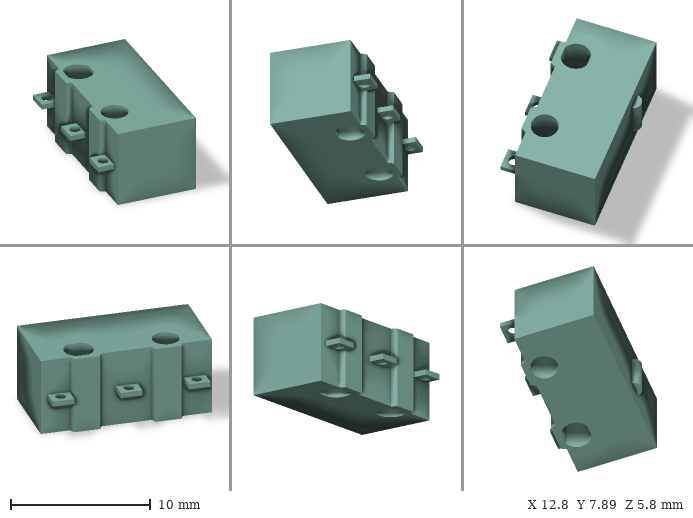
import cadquery as cq

length = 12.8
depth = 6.09
height = 5.8

pad_offset = 3.05
pad_base_width = 2.33
pad_tip_width = 1.92
pad_projection = 0.4

mount_offset = 3.25
mount_setback = 1.1
mount_diameter = 2.0
flatted_diameter = 2.2

plunger_x = -1.95
plunger_radius = 0.6
plunger_projection = 0.5
plunger_height = 2.88

terminal_pitch = 5.08
terminal_width = 1.61
terminal_gap = 0.09
terminal_end = 1.3
terminal_thickness = 0.4
terminal_hole_diameter = 0.8
terminal_hole_setback = 0.59
terminal_length = terminal_end - terminal_gap


def prism(sketch, thickness):
    """Extrude an XY outline equally above and below mid-height."""
    return sketch.extrude(thickness / 2, both=True)


def make_pad(x):
    """Trapezoidal full-height pad on the front face."""
    outline = cq.Workplane("XY").polyline([
        (x - pad_base_width / 2, 0),
        (x - pad_tip_width / 2, -pad_projection),
        (x + pad_tip_width / 2, -pad_projection),
        (x + pad_base_width / 2, 0),
    ]).close()
    return prism(outline, height)


def make_plunger():
    """Cylindrical cap, partly sunk into the back face."""
    center_y = depth + plunger_projection - plunger_radius
    return prism(cq.Workplane("XY").center(plunger_x, center_y).circle(plunger_radius), plunger_height)


def make_round_hole():
    return prism(cq.Workplane("XY").center(mount_offset, mount_setback).circle(mount_diameter / 2), height)


def make_flatted_hole():
    """Larger round hole with flats that limit its Y size to the round hole's diameter."""
    start = cq.Workplane("XY").center(-mount_offset, mount_setback)
    bore = prism(start.circle(flatted_diameter / 2), height)
    flats = prism(start.rect(flatted_diameter, mount_diameter), height)
    return bore.intersect(flats)


def make_housing():
    housing = prism(cq.Workplane("XY").center(0, depth / 2).rect(length, depth), height)
    for x in (-pad_offset, pad_offset):
        housing = housing.union(make_pad(x))
    housing = housing.union(make_plunger())
    return housing.cut(make_round_hole()).cut(make_flatted_hole())


def make_terminal(x):
    """Flat tab with a vertical wire hole."""
    center_y = -terminal_gap - terminal_length / 2
    tab = prism(cq.Workplane("XY").center(x, center_y).rect(terminal_width, terminal_length), terminal_thickness)
    hole_outline = cq.Workplane("XY").center(x, -terminal_hole_setback).circle(terminal_hole_diameter / 2)
    return tab.cut(prism(hole_outline, terminal_thickness))


housing = make_housing()
terminals = [make_terminal(x) for x in (-terminal_pitch, 0, terminal_pitch)]

result = cq.Compound.makeCompound([housing.val(), *[terminal.val() for terminal in terminals]])